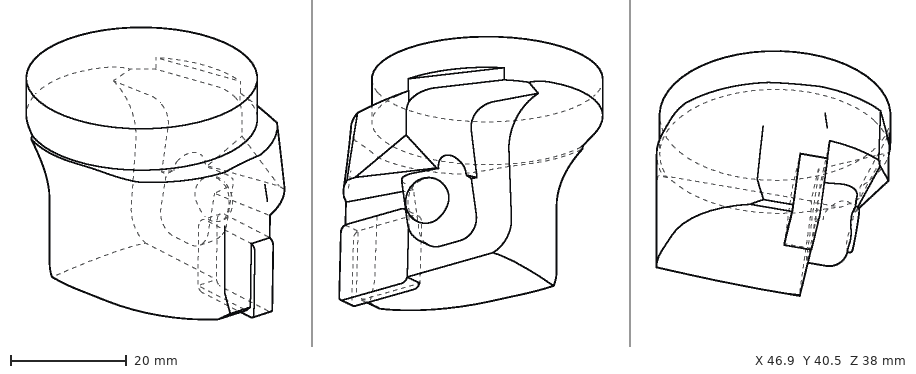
import cadquery as cq
import math


flange_radius = 40.0 / 2
flange_bottom = -7.95
rear_flat_y = 18.0
rear_flat_top = -5.7

holder_radius = 41.0 / 2
holder_shift = 6.1
holder_depth = 42.2
shoulder_slope = 0.28
flank_centre_x = 1.4
flank_top_z = -8.9
flank_top_radius = 22.25
flank_growth = 0.11
rear_edge_start = (9.5, 17.58)
rear_edge_end = (22.08, 11.95)

wall_x = -6.45
roof_edge_z = -6.8
roof_angle = math.radians(5)
wall_top_z = -17.05
wall_bottom_z = -29.15
heel_radius = 5.85

insert_tip = (26.9, -0.1, -38.05)
rake_x = 0.17
rake_z = -0.12
insert_tilt = math.radians(5)
insert_tip_angle = math.radians(80)
insert_side = 13.35
insert_thickness = 4.8
insert_corner_radius = 1.4
insert_tip_radius = 0.55
insert_overhang = 0.85
holder_corner_chamfer = 0.95

gullet_wall_x = 9.37
gullet_wall_angle = 40.0
gullet_roof_z = -7.95
gullet_fillet = 4.2
gullet_slope_top = -15.75
gullet_ledge_z = -20.8

boss_length = 11.25
boss_centre_x = 6.1
boss_centre_z = -24.15
boss_height = 15.0
boss_rise = 6.8
boss_round = 3.3
boss_side_round = 3.75
screw_head_diameter = 8.0
screw_head_x = 6.1
screw_head_z = -25.3
screw_head_rise = 0.75
screw_head_round = 0.45

reach = 70.3

rake_normal = cq.Vector(rake_x, 1, rake_z)
edge_x = math.cos(insert_tilt)
edge_z = -math.sin(insert_tilt)
edge_y = -(rake_x * edge_x + rake_z * edge_z)
rake_plane = cq.Plane(origin=insert_tip, xDir=(edge_x, edge_y, edge_z), normal=rake_normal.toTuple())

lean = math.cos(insert_tip_angle)
rise = math.sin(insert_tip_angle)


def rake_point(x, z):
    """Point of the rake plane at the given X and Z."""
    tip_x, tip_y, tip_z = insert_tip
    y = tip_y - rake_x * (x - tip_x) - rake_z * (z - tip_z)
    return (x, y, z)


def make_insert():
    """Rhombic plate with a small tip radius and three larger corner radii."""
    side_corner = (-insert_side * lean, -insert_side * rise)
    bottom_corner = (-insert_side, 0)
    far_corner = (side_corner[0] + bottom_corner[0], side_corner[1])
    blank = (
        cq.Workplane(rake_plane)
        .polyline([(0, 0), side_corner, far_corner, bottom_corner])
        .close()
        .extrude(-insert_thickness)
    )
    tip_edge = cq.selectors.NearestToPointSelector(
        rake_plane.toWorldCoords((0, 0, -insert_thickness / 2)).toTuple()
    )
    tipped = blank.edges(tip_edge).fillet(insert_tip_radius)
    for corner in [bottom_corner, side_corner, far_corner]:
        middle = rake_plane.toWorldCoords((*corner, -insert_thickness / 2))
        edge = cq.selectors.NearestToPointSelector(middle.toTuple())
        tipped = tipped.edges(edge).fillet(insert_corner_radius)
    return tipped


def make_flange():
    """Round disc at the top of the holder."""
    return cq.Workplane("XY").circle(flange_radius).extrude(flange_bottom)


def make_holder_block():
    """Rounded block with a sloping shoulder, a conical flank and clearance faces."""
    block = (
        cq.Workplane("XY")
        .moveTo(0, -holder_radius)
        .lineTo(holder_shift, -holder_radius)
        .threePointArc((holder_shift + holder_radius, 0), (holder_shift, holder_radius))
        .lineTo(0, holder_radius)
        .threePointArc((-holder_radius, 0), (0, -holder_radius))
        .close()
        .extrude(-holder_depth)
    )
    shoulder_drop = shoulder_slope * (reach - flange_radius)
    under_shoulder = (
        cq.Workplane("XZ")
        .polyline([
            (0, flange_bottom),
            (flange_radius, flange_bottom),
            (reach, flange_bottom - shoulder_drop),
            (reach, -reach),
            (0, -reach),
        ])
        .close()
        .revolve(360, (0, 0), (0, 1))
    )
    flank = (
        cq.Workplane("XZ")
        .polyline([
            (0, 0),
            (flank_top_radius + flank_growth * flank_top_z, 0),
            (flank_top_radius + flank_growth * (flank_top_z + holder_depth), -holder_depth),
            (0, -holder_depth),
        ])
        .close()
        .revolve(360, (0, 0), (0, 1))
        .translate((flank_centre_x, 0, 0))
    )
    corner_y = -insert_overhang
    corner_x = -insert_overhang * (1 + lean) / rise

    def side_point(distance):
        return (corner_x - distance * lean, corner_y - distance * rise)

    clearance_faces = (
        cq.Workplane(rake_plane)
        .polyline([
            side_point(reach),
            side_point(holder_corner_chamfer),
            (corner_x - holder_corner_chamfer, corner_y),
            (-reach, corner_y),
            (-reach, -reach * rise),
        ])
        .close()
        .extrude(reach, both=True)
    )
    return block.intersect(under_shoulder).intersect(flank).intersect(clearance_faces)


def make_rear_edge_cut():
    """Material beyond the straight edge that runs from the flange to the tooth."""
    run_x = rear_edge_end[0] - rear_edge_start[0]
    run_y = rear_edge_end[1] - rear_edge_start[1]
    angle = math.degrees(math.atan2(run_y, run_x))
    return (
        cq.Workplane("XY")
        .box(2 * reach, reach, 2 * reach, centered=(True, False, True))
        .rotate((0, 0, 0), (0, 0, 1), angle)
        .translate((*rear_edge_start, 0))
    )


def make_rear_flat_cut():
    """Material behind the flat on the +Y side, below the flange rim."""
    return cq.Workplane("XY").box(2 * reach, reach, reach, centered=(True, False, False)).translate(
        (0, rear_flat_y, rear_flat_top - reach)
    )


def make_undercut():
    """Space under the flange: sloping roof, concave arc, upright wall and rounded heel."""
    roof_slope = math.tan(roof_angle)
    roof_gap = roof_edge_z - roof_slope * (wall_x + flange_radius) - wall_top_z
    arc_radius = roof_gap * math.cos(roof_angle) / (1 - math.sin(roof_angle))
    centre_x = wall_x - arc_radius

    def arc_point(angle):
        return (centre_x + arc_radius * math.cos(angle), wall_top_z + arc_radius * math.sin(angle))

    tangent_angle = math.pi / 2 - roof_angle
    heel_mid = heel_radius * math.sin(math.pi / 4)
    heel_centre_x = wall_x + heel_radius
    profile = (
        cq.Workplane("XZ")
        .moveTo(-reach, roof_edge_z + roof_slope * (reach - flange_radius))
        .lineTo(*arc_point(tangent_angle))
        .threePointArc(arc_point(tangent_angle / 2), (wall_x, wall_top_z))
        .lineTo(wall_x, wall_bottom_z)
        .threePointArc(
            (heel_centre_x - heel_mid, wall_bottom_z - heel_mid),
            (heel_centre_x, wall_bottom_z - heel_radius),
        )
        .lineTo(heel_centre_x, -reach)
        .lineTo(-reach, -reach)
        .close()
    )
    return profile.extrude(reach, both=True)


def make_gullet():
    """Space ahead of the rake plane, under a filleted roof beside a tooth with a 45 degree lower face."""
    ahead = cq.Workplane(rake_plane).rect(4 * reach, 4 * reach).extrude(reach)
    pocket = (
        cq.Workplane("XY")
        .box(reach, 2 * reach, reach)
        .translate((gullet_wall_x - reach / 2, 0, gullet_roof_z - reach / 2))
        .edges(">X and >Z")
        .fillet(gullet_fillet)
        .rotate((gullet_wall_x, rear_flat_y, 0), (gullet_wall_x, rear_flat_y, 1), -gullet_wall_angle)
    )
    slope_height = gullet_slope_top - gullet_ledge_z
    below_slope = (
        cq.Workplane("YZ")
        .polyline([
            (rear_flat_y + reach, gullet_slope_top + reach),
            (rear_flat_y - slope_height, gullet_ledge_z),
            (-reach, gullet_ledge_z),
            (-reach, -reach),
            (rear_flat_y + reach, -reach),
        ])
        .close()
        .extrude(reach, both=True)
    )
    return pocket.union(below_slope).intersect(ahead)


def make_boss():
    """Rounded boss carrying the screw head, standing on the gullet floor."""
    def floor_plane(x, z):
        return cq.Plane(origin=rake_point(x, z), xDir=(edge_x, edge_y, edge_z), normal=rake_normal.toTuple())

    boss = (
        cq.Workplane(floor_plane(boss_centre_x, boss_centre_z))
        .rect(boss_length, boss_height)
        .extrude(boss_rise)
        .edges(cq.selectors.ParallelDirSelector(rake_normal))
        .fillet(boss_side_round)
        .faces(cq.selectors.DirectionMinMaxSelector(rake_normal))
        .edges()
        .fillet(boss_round)
    )
    head = (
        cq.Workplane(floor_plane(screw_head_x, screw_head_z))
        .circle(screw_head_diameter / 2)
        .extrude(boss_rise + screw_head_rise)
        .faces(cq.selectors.DirectionMinMaxSelector(rake_normal))
        .edges()
        .fillet(screw_head_round)
    )
    return boss.union(head)


insert = make_insert()
holder = make_flange().union(make_holder_block().cut(make_rear_edge_cut()))
holder = holder.cut(make_rear_flat_cut())
holder = holder.cut(make_undercut())
holder = holder.cut(make_gullet())
holder = holder.union(make_boss())
holder = holder.cut(insert)

result = cq.Compound.makeCompound([*holder.vals(), insert.val()])